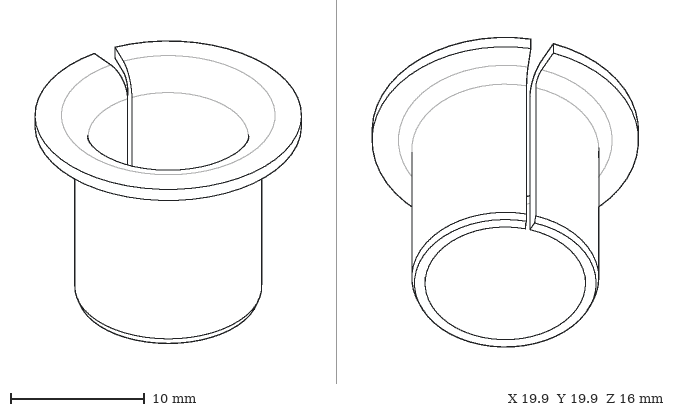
import cadquery as cq
import math

flange_radius = 9.96
height = 16.0
bore_radius = 6.0
wall = 1.0
neck_outer_radius = 1.0
chamfer_height = 0.55
chamfer_angle = 20.0
slit_inner_width = 0.35
slit_angle = 20.0

sleeve_radius = bore_radius + wall
neck_inner_radius = neck_outer_radius + wall
neck_center_radius = bore_radius + neck_inner_radius
neck_center_z = height - neck_inner_radius
flange_bottom = height - wall
chamfer_width = chamfer_height * math.tan(math.radians(chamfer_angle))
diagonal = math.sqrt(0.5)


def neck_midpoint(radius):
    """Middle of a quarter arc bending from the sleeve into the flange."""
    return (neck_center_radius - radius * diagonal, neck_center_z + radius * diagonal)


def make_bushing():
    """Flanged sleeve of constant wall, turned about Z with its base at Z = 0."""
    turned = (
        cq.Workplane("XZ")
        .moveTo(bore_radius, 0)
        .lineTo(sleeve_radius - chamfer_width, 0)
        .lineTo(sleeve_radius, chamfer_height)
        .lineTo(sleeve_radius, neck_center_z)
        .threePointArc(neck_midpoint(neck_outer_radius), (neck_center_radius, flange_bottom))
        .lineTo(flange_radius, flange_bottom)
        .lineTo(flange_radius, height)
        .lineTo(neck_center_radius, height)
        .threePointArc(neck_midpoint(neck_inner_radius), (bore_radius, neck_center_z))
        .close()
        .revolve(360, (0, 0), (0, 1))
    )
    return turned.rotate((0, 0, 0), (0, 0, 1), 180)


def make_slit():
    """Full-height wedge that opens the -X side and widens outwards."""
    half_slope = math.tan(math.radians(slit_angle / 2))
    apex_x = -bore_radius + slit_inner_width / 2 / half_slope
    end_x = -(flange_radius + wall)
    end_half_width = (apex_x - end_x) * half_slope
    return (
        cq.Workplane("XY")
        .polyline([(apex_x, 0), (end_x, end_half_width), (end_x, -end_half_width)])
        .close()
        .extrude(height)
    )


result = make_bushing().cut(make_slit())